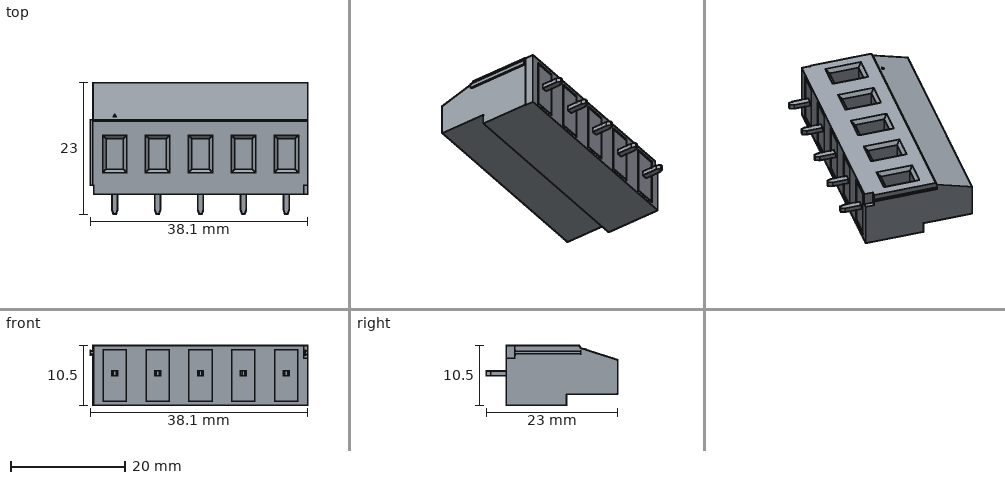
import cadquery as cq

length = 38.1
top_z = 10.5
rear_y = 23.0
poles = 5
pole_pitch = 7.5
first_pole_x = 4.3

rail_reach = 0.5
housing_x = rail_reach
front_y = 3.45
flange_rear_y = 5.03
flange_inset = 0.1
step_y = 14.05
step_z = 1.95
shoulder_y = 16.55
shoulder_drop = 0.45
shoulder_bevel = 0.25
rear_edge_z = 8.0
rear_rounding = 0.2

rail_neck_top = 9.5
rail_neck_bottom = 9.03
rail_flare_top = 9.65
rail_flare_bottom = 8.8
flange_notch_width = 0.75
flange_notch_depth = 2.3

well_mouth_x = 4.25
well_mouth_y = 6.55
well_bevel_inset = 0.6
well_center_y = 10.55
well_bevel_depth = 0.65
well_floor_z = step_z

window_width = 4.05
window_margin = 0.72
window_depth = 0.2

pin_width = 1.03
pin_height = 0.88
pin_z = 5.6
pin_tip_width = 0.5
pin_tip_length = 0.75

mark_width = 0.5
mark_length = 0.42
mark_front_y = 17.05
mark_height = 0.08

pole_xs = [first_pole_x + pole * pole_pitch for pole in range(poles)]
slope_start_z = top_z - shoulder_drop


def make_housing():
    """Stepped and sloped body with a slightly narrower front flange."""
    body = (
        cq.Workplane("YZ", origin=(housing_x, 0, 0))
        .moveTo(flange_rear_y, 0)
        .lineTo(step_y, 0)
        .lineTo(step_y, step_z)
        .lineTo(rear_y, step_z)
        .lineTo(rear_y, rear_edge_z)
        .lineTo(shoulder_y, slope_start_z)
        .lineTo(shoulder_y - shoulder_bevel, top_z)
        .lineTo(flange_rear_y, top_z)
        .close()
        .extrude(length - housing_x)
        .faces(">Y")
        .edges("|X")
        .fillet(rear_rounding)
    )
    flange_x = housing_x + flange_inset
    flange = cq.Workplane("XY", origin=(flange_x, front_y, 0)).box(
        length - flange_x, flange_rear_y - front_y, top_z, centered=False
    )
    notch = cq.Workplane("XY").box(
        flange_notch_width, flange_rear_y - front_y, flange_notch_depth, centered=False
    ).translate((length - flange_notch_width, front_y, top_z - flange_notch_depth))
    return body.union(flange.cut(notch))


def make_dovetail(outer_x):
    """Dovetail bar whose flared side lies on the plane x = outer_x."""
    neck_x = outer_x + rail_reach
    return (
        cq.Workplane("XZ", origin=(0, flange_rear_y, 0))
        .moveTo(outer_x, rail_flare_bottom)
        .lineTo(outer_x, rail_flare_top)
        .lineTo(neck_x, rail_neck_top)
        .lineTo(neck_x, rail_neck_bottom)
        .close()
        .extrude(flange_rear_y - shoulder_y)
    )


def make_well(x):
    """Rectangular shaft with a bevelled mouth."""
    throat_x = well_mouth_x - 2 * well_bevel_inset
    throat_y = well_mouth_y - 2 * well_bevel_inset
    throat_z = top_z - well_bevel_depth
    mouth = (
        cq.Workplane("XY", origin=(x, well_center_y, throat_z))
        .rect(throat_x, throat_y)
        .workplane(offset=well_bevel_depth)
        .rect(well_mouth_x, well_mouth_y)
        .loft(ruled=True)
    )
    shaft = cq.Workplane("XY", origin=(x, well_center_y, well_floor_z)).rect(
        throat_x, throat_y
    ).extrude(throat_z - well_floor_z)
    return mouth.union(shaft)


def make_window(x):
    """Shallow rectangular recess in the front face."""
    return cq.Workplane("XZ", origin=(x, front_y, top_z / 2)).rect(
        window_width, top_z - 2 * window_margin
    ).extrude(-window_depth)


def make_pin(x):
    """Flat pin from the window floor to a tapered tip at y = 0."""
    half_width = pin_width / 2
    half_tip = pin_tip_width / 2
    return (
        cq.Workplane("XY", origin=(x, 0, pin_z - pin_height / 2))
        .moveTo(-half_tip, 0)
        .lineTo(half_tip, 0)
        .lineTo(half_width, pin_tip_length)
        .lineTo(half_width, front_y + window_depth)
        .lineTo(-half_width, front_y + window_depth)
        .lineTo(-half_width, pin_tip_length)
        .close()
        .extrude(pin_height)
    )


def make_mark():
    """Small triangle standing on the slope beside the first pole."""
    slope_run = rear_y - shoulder_y
    slope_fall = slope_start_z - rear_edge_z
    slope = cq.Plane(
        origin=(first_pole_x, shoulder_y, slope_start_z),
        xDir=(1, 0, 0),
        normal=(0, slope_fall, slope_run),
    )
    base = mark_front_y - shoulder_y
    return (
        cq.Workplane(slope)
        .moveTo(-mark_width / 2, base)
        .lineTo(mark_width / 2, base)
        .lineTo(0, base + mark_length)
        .close()
        .extrude(mark_height)
    )


result = make_housing()
result = result.union(make_dovetail(0))
result = result.cut(make_dovetail(length - rail_reach))
for pole_x in pole_xs:
    result = result.cut(make_well(pole_x))
    result = result.cut(make_window(pole_x))
    result = result.union(make_pin(pole_x))
result = result.union(make_mark())